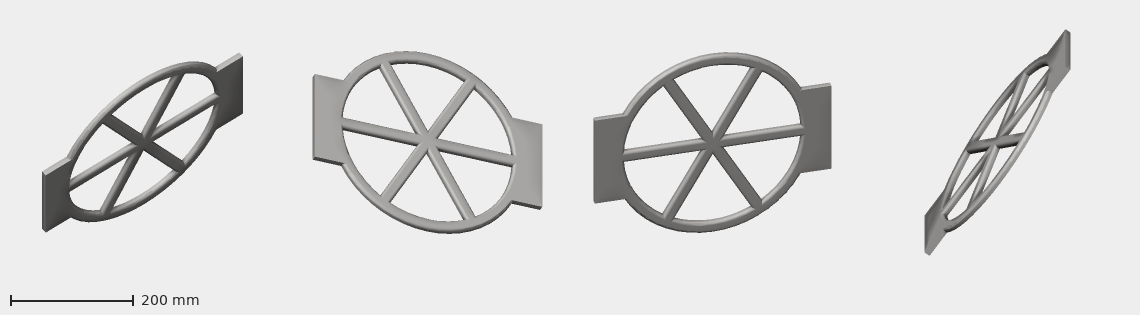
import cadquery as cq

thickness = 10.0
total_length = 400.0
mount_height = 160.0
wheel_radius = 170.0
rim_width = 20.0
spoke_width = 20.0
spoke_bars = 3

window_radius = wheel_radius - rim_width
edge_radius = thickness / 2


def disc(radius):
    """Solid disc with its back face on the YZ plane."""
    return cq.Workplane("YZ").circle(radius).extrude(thickness)


def bar(length, width):
    """Flat bar centred on the wheel axis, long side along Y."""
    return cq.Workplane("YZ").rect(length, width).extrude(thickness)


def make_windows():
    """Six sectors left open between the spokes."""
    windows = disc(window_radius)
    for i in range(spoke_bars):
        spoke = bar(2 * wheel_radius, spoke_width)
        windows = windows.cut(spoke.rotate((0, 0, 0), (1, 0, 0), i * 180 / spoke_bars))
    return windows


wheel = disc(wheel_radius).faces(">X").edges().fillet(edge_radius)

body = wheel.union(bar(total_length, mount_height))

body = body.cut(make_windows())
front_face = body.faces(">X").val()
window_edges = [edge for wire in front_face.innerWires() for edge in wire.Edges()]
result = body.newObject(window_edges).fillet(edge_radius).translate((-thickness / 2, 0, 0))